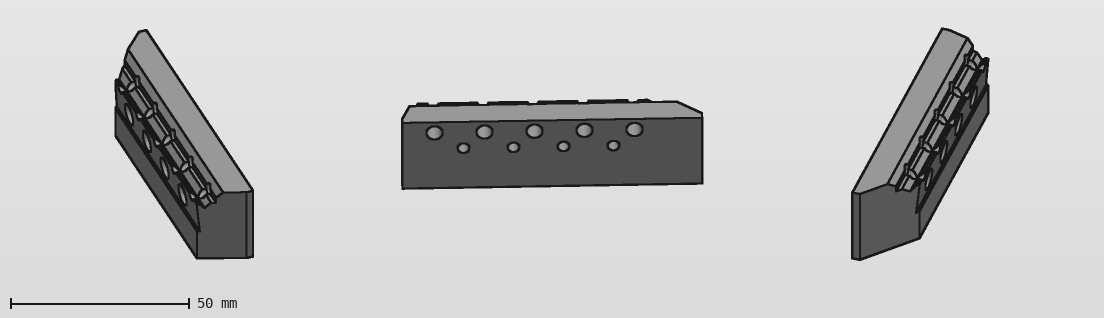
import cadquery as cq
import math

length = 84.0
depth = 15.0
height = 22.5

front_left_x = 15.0
front_right_x = 79.2
left_end_depth = 2.3
right_end_depth = 2.0

top_chamfer = 1.85
step_y = 5.0
step_z = 19.0
groove_y = 2.0
groove_z = 17.2
step_edge_y = groove_y + (step_z - groove_z)
ridge_z = 18.5
ridge_y = groove_y - (ridge_z - groove_z)

lean_angle = 5.0
lean_top_z = 17.7
lean_bottom_z = 9.15
lean_bottom_y = (lean_top_z - lean_bottom_z) * math.tan(math.radians(lean_angle))
lip_y = 0.25
lip_z = 9.6
lip_front_z = lip_z - lip_y

hole_pitch = length / 6

vent_count = 5
vent_first_x = 19.0
vent_z = 18.9
vent_radius = 2.3
mouth_radius = 1.7
mouth_inner_radius = 1.35

screw_count = 4
screw_first_x = 24.9
screw_z = 13.5
screw_radius = 1.64
counterbore_radius = 3.1
counterbore_depth = 8.4


def make_body():
    """Extrude the YZ section along X and trim it to the tapered plan outline."""
    section = (
        cq.Workplane("YZ")
        .polyline([
            (0, 0),
            (depth, 0),
            (depth, height),
            (step_y + top_chamfer, height),
            (step_y, height - top_chamfer),
            (step_y, step_z),
            (step_edge_y, step_z),
            (groove_y, groove_z),
            (ridge_y, ridge_z),
            (0, ridge_z),
            (0, lean_top_z),
            (lean_bottom_y, lean_bottom_z),
            (lip_y, lip_z),
            (0, lip_front_z),
        ])
        .close()
        .extrude(length)
    )
    plan = (
        cq.Workplane("XY")
        .polyline([
            (front_left_x, 0),
            (front_right_x, 0),
            (length, depth - right_end_depth),
            (length, depth),
            (0, depth),
            (0, depth - left_end_depth),
        ])
        .close()
        .extrude(height)
    )
    return section.intersect(plan)


def cylinder_along_y(x, z, radius, start_y, end_y):
    return cq.Solid.makeCylinder(
        radius, end_y - start_y, cq.Vector(x, start_y, z), cq.Vector(0, 1, 0)
    )


def cut_vent(body, x):
    """Cut a tapered mouth up to the step and a wider bore from there to the back."""
    mouth = cq.Solid.makeCone(
        mouth_radius, mouth_inner_radius, step_y, cq.Vector(x, 0, vent_z), cq.Vector(0, 1, 0)
    )
    bore = cylinder_along_y(x, vent_z, vent_radius, step_y, depth)
    return body.cut(cq.Workplane(mouth)).cut(cq.Workplane(bore))


def cut_screw_hole(body, x):
    """Cut a through hole with a counterbore from the front."""
    through = cylinder_along_y(x, screw_z, screw_radius, 0, depth)
    counterbore = cylinder_along_y(x, screw_z, counterbore_radius, 0, counterbore_depth)
    return body.cut(cq.Workplane(through)).cut(cq.Workplane(counterbore))


result = make_body()
for i in range(vent_count):
    result = cut_vent(result, vent_first_x + i * hole_pitch)
for i in range(screw_count):
    result = cut_screw_hole(result, screw_first_x + i * hole_pitch)